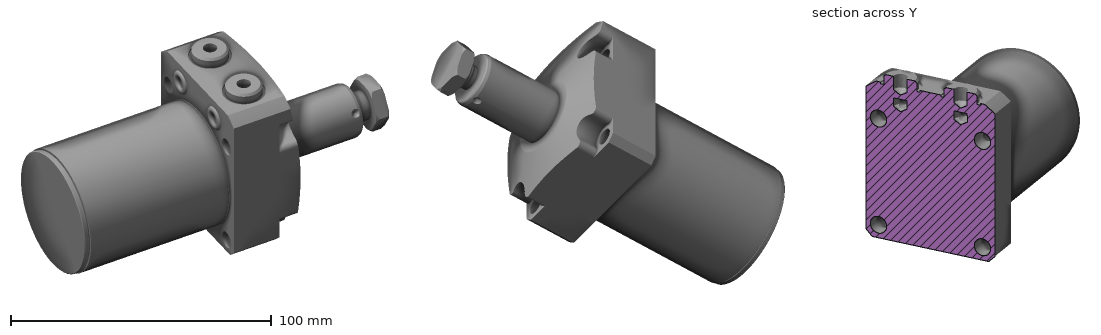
import cadquery as cq
import math


total_length = 143.0
total_height = 69.8
flange_width = 56.0
half_width = flange_width / 2
port_face_z = 38.2
bolt_end_y = 79.0
barrel_end_y = bolt_end_y - total_length

flange_depth = 33.0
nose_flat_radius = 15.0
nose_angle = 15.0
flange_turned_radius = 44.8
bottom_chamfer = 2.9

mount_offset = 22.5
mount_hole_diameter = 6.9
pocket_floor_y = 20.3
upper_pocket_radius = 5.1
lower_pocket_radius = 5.5
pocket_flare_radius = 2.3
pocket_reach = half_width - mount_offset
pocket_overrun = pocket_reach + 1.5

barrel_radius = 25.3
collar_radius = 25.6
collar_length = 0.6
cap_radius = 24.9
cap_length = 1.9
cap_chamfer = 0.3
groove_radius = 24.3
groove_width = 0.6

port_x = 13.0
port_y = 13.0
plug_diameter = 14.5
plug_top_z = total_height - half_width
plug_chamfer = 0.9
spotface_diameter = 16.9
spotface_depth = 0.7
plug_bottom_z = 32.5
plug_socket_diameter = 5.6
plug_socket_depth = 5.7
port_bore_diameter = 5.6
port_bore_end_z = 29.0
drill_point_angle = 118.0
seal_z = 30.0
seal_outer_diameter = 10.2
seal_inner_diameter = 4.0
seal_protrusion = 0.9

rod_radius = 11.0
rod_end_y = 67.5
rod_lead_length = 1.7
rod_lead_step = 0.5
rod_tip_bevel = 0.5
spanner_dimple_diameter = 3.7
spanner_dimple_depth = 1.9
spanner_dimple_y = 64.6
spanner_dimple_angles = (30, 150, 270)

hex_across_corners = 22.3
hex_height = 5.7
hex_chamfer = 1.0
bolt_collar_radius = 6.0
bolt_collar_length = 2.7
bolt_taper_length = 1.1
bolt_neck_radius = 5.0


def turned(profile):
    """Solid of revolution about the Y axis from (radius, y) points."""
    return cq.Workplane("XY").polyline(profile).close().revolve(360, (0, 0, 0), (0, 1, 0))


def cone_height(radius):
    """Height of a drill point of the given radius."""
    return radius / math.tan(math.radians(drill_point_angle / 2))


def drill(radius, depth):
    """Drill-shaped cutter along -Z from the origin, with its point below the given depth."""
    profile = [(0, 0), (radius, 0), (radius, -depth), (0, -depth - cone_height(radius))]
    return turned(profile).rotate((0, 0, 0), (1, 0, 0), 90)


def along_y(radius, y_start, y_end, x, z):
    """Cylinder parallel to the Y axis."""
    return cq.Workplane("XZ", origin=(x, y_start, z)).circle(radius).extrude(y_start - y_end)


def flange_block():
    """Rectangular block with chamfered lower edges and a turned conical nose."""
    block = (
        cq.Workplane("XY")
        .box(flange_width, flange_depth, half_width + port_face_z, centered=(True, False, False))
        .translate((0, 0, -half_width))
        .edges("<Z and |Y")
        .chamfer(bottom_chamfer)
    )
    nose_drop = (flange_turned_radius - nose_flat_radius) * math.tan(math.radians(nose_angle))
    nose = turned([
        (0, 0),
        (flange_turned_radius, 0),
        (flange_turned_radius, flange_depth - nose_drop),
        (nose_flat_radius, flange_depth),
        (0, flange_depth),
    ])
    return block.intersect(nose)


def pocket_plane():
    """Sketch plane at the nose; extruding goes back toward the pocket floor."""
    return cq.Workplane("XZ", origin=(0, flange_depth, 0))


def upper_pocket():
    """Slot cutter about the origin, round at one end and flared where it leaves through +X."""
    flare_start = pocket_reach - pocket_flare_radius
    mouth = upper_pocket_radius + pocket_flare_radius
    diagonal = pocket_flare_radius * math.sqrt(0.5)
    flare_mid = (flare_start + diagonal, mouth - diagonal)
    return (
        pocket_plane()
        .moveTo(0, upper_pocket_radius)
        .lineTo(flare_start, upper_pocket_radius)
        .threePointArc(flare_mid, (pocket_reach, mouth))
        .lineTo(pocket_overrun, mouth)
        .lineTo(pocket_overrun, -mouth)
        .lineTo(pocket_reach, -mouth)
        .threePointArc((flare_mid[0], -flare_mid[1]), (flare_start, -upper_pocket_radius))
        .lineTo(0, -upper_pocket_radius)
        .threePointArc((-upper_pocket_radius, 0), (0, upper_pocket_radius))
        .close()
        .extrude(flange_depth - pocket_floor_y)
    )


def lower_pocket():
    """Round cutter about the origin, open and flared toward both +X and -Z."""
    radius = lower_pocket_radius
    flare = pocket_flare_radius
    flare_x = pocket_reach - flare
    flare_z = math.sqrt((radius + flare) ** 2 - flare_x ** 2)
    tangent_angle = math.atan2(flare_z, flare_x)
    middle_angle = (tangent_angle - math.pi) / 2

    mouth = (pocket_reach, flare_z)
    flare_mid = (flare_x + flare * math.cos(middle_angle), flare_z + flare * math.sin(middle_angle))
    tangent = (radius * math.cos(tangent_angle), radius * math.sin(tangent_angle))
    wall_mid = (-radius * math.sqrt(0.5), radius * math.sqrt(0.5))

    def swapped(point):
        """Mirror a point across the pocket's diagonal."""
        return (-point[1], -point[0])

    return (
        pocket_plane()
        .moveTo(*mouth)
        .threePointArc(flare_mid, tangent)
        .threePointArc(wall_mid, swapped(tangent))
        .threePointArc(swapped(flare_mid), swapped(mouth))
        .lineTo(-flare_z, -pocket_overrun)
        .lineTo(pocket_overrun, -pocket_overrun)
        .lineTo(pocket_overrun, flare_z)
        .close()
        .extrude(flange_depth - pocket_floor_y)
    )


def mounting_cuts():
    """Cutters for the +X side: two through holes, each with its pocket."""
    upper = upper_pocket().translate((mount_offset, 0, mount_offset))
    lower = lower_pocket().translate((mount_offset, 0, -mount_offset))
    cuts = upper.union(lower)
    for z in (mount_offset, -mount_offset):
        cuts = cuts.union(along_y(mount_hole_diameter / 2, 0, flange_depth, mount_offset, z))
    return cuts


def barrel():
    """Turned barrel with a base collar and a grooved, chamfered end cap."""
    cap_start_y = barrel_end_y + cap_length
    groove_end_y = cap_start_y + groove_width
    return turned([
        (0, 0),
        (collar_radius, 0),
        (collar_radius, -collar_length),
        (barrel_radius, -collar_length),
        (barrel_radius, groove_end_y),
        (groove_radius, groove_end_y),
        (groove_radius, cap_start_y),
        (cap_radius, cap_start_y),
        (cap_radius, barrel_end_y + cap_chamfer),
        (cap_radius - cap_chamfer, barrel_end_y),
        (0, barrel_end_y),
    ])


def add_port(body, x):
    """Plug in a spotface on top, seal ring on the mounting face, and the bores behind each."""
    spotface_z = port_face_z - spotface_depth
    top_plane = cq.Workplane("XY", origin=(x, port_y, spotface_z))
    spotface = top_plane.circle(spotface_diameter / 2).extrude(spotface_depth)
    plug = (
        top_plane.circle(plug_diameter / 2)
        .extrude(plug_top_z - spotface_z)
        .faces(">Z")
        .chamfer(plug_chamfer)
    )
    socket = drill(plug_socket_diameter / 2, plug_socket_depth).translate((x, port_y, plug_top_z))
    port_bore = drill(port_bore_diameter / 2, plug_bottom_z - port_bore_end_z)
    port_bore = port_bore.translate((x, port_y, plug_bottom_z))

    tube_radius = (seal_outer_diameter - seal_inner_diameter) / 4
    ring_radius = seal_outer_diameter / 2 - tube_radius
    seal_y = tube_radius - seal_protrusion
    seal = cq.Workplane(
        cq.Solid.makeTorus(ring_radius, tube_radius, cq.Vector(x, seal_y, seal_z), cq.Vector(0, 1, 0))
    )
    seal_bore = along_y(seal_inner_diameter / 2, seal_y, port_y, x, seal_z)
    seal_opening = along_y(ring_radius, 0, seal_y, x, seal_z)

    body = body.cut(spotface).union(plug)
    body = body.cut(seal_opening).union(seal)
    return body.cut(socket).cut(port_bore).cut(seal_bore)


def make_housing():
    body = flange_block().union(barrel())
    right_cuts = mounting_cuts()
    body = body.cut(right_cuts).cut(right_cuts.mirror("YZ"))
    for x in (-port_x, port_x):
        body = add_port(body, x)
    return body


def make_piston_rod():
    rod = turned([
        (0, flange_depth),
        (rod_radius, flange_depth),
        (rod_radius, rod_end_y - rod_lead_length),
        (rod_radius - rod_lead_step, rod_end_y - rod_tip_bevel),
        (rod_radius - rod_lead_step - rod_tip_bevel, rod_end_y),
        (0, rod_end_y),
    ])
    dimple = cq.Workplane(
        cq.Solid.makeCone(
            spanner_dimple_diameter / 2, 0, spanner_dimple_depth,
            cq.Vector(0, spanner_dimple_y, rod_radius), cq.Vector(0, 0, -1),
        )
    )
    for angle in spanner_dimple_angles:
        rod = rod.cut(dimple.rotate((0, 0, 0), (0, 1, 0), 90 - angle))
    return rod


def make_contact_bolt():
    corner_radius = hex_across_corners / 2
    head_base_y = bolt_end_y - hex_height
    head = cq.Workplane("XZ", origin=(0, bolt_end_y, 0)).polygon(6, hex_across_corners).extrude(hex_height)
    head_limit = turned([
        (0, head_base_y),
        (corner_radius - hex_chamfer, head_base_y),
        (corner_radius, head_base_y + hex_chamfer),
        (corner_radius, bolt_end_y - hex_chamfer),
        (corner_radius - hex_chamfer, bolt_end_y),
        (0, bolt_end_y),
    ])
    collar_end_y = head_base_y - bolt_collar_length
    shank = turned([
        (0, head_base_y),
        (bolt_collar_radius, head_base_y),
        (bolt_collar_radius, collar_end_y),
        (bolt_neck_radius, collar_end_y - bolt_taper_length),
        (bolt_neck_radius, rod_end_y),
        (0, rod_end_y),
    ])
    return head.intersect(head_limit).union(shank)


housing = make_housing()
piston_rod = make_piston_rod()
contact_bolt = make_contact_bolt()

result = cq.Compound.makeCompound([body.solids().val() for body in (housing, piston_rod, contact_bolt)])